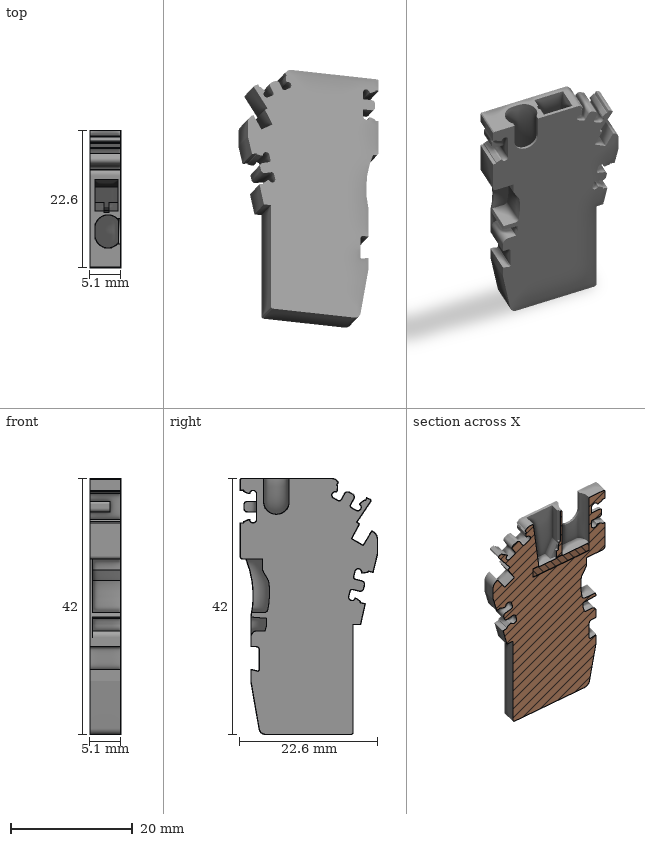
import cadquery as cq

WIDTH = 5.1
DEPTH = 22.55
HEIGHT = 42.0

HEAD_BOTTOM_Z = 28.75
HEAD_EDGE_RADIUS = 0.5
TOP_EDGE_CHAMFER = 0.15
HEAD_BACK_RADIUS = 1.0
FOOT_FRONT_Y = 1.75
RAIL_NOTCH_Y = 3.15
RAIL_NOTCH_TOP_Z = 14.4
RAIL_NOTCH_RADIUS = 0.5
TONGUE_BOTTOM_Z = 19.28
FOOT_BACK_Y = 18.55
FOOT_EDGE_CHAMFER = 0.25
FOOT_TOE_RADIUS = 1.15

GROOVE_HALF_WIDTH = 2.65
GROOVE_STEP_HALF_WIDTH = 2.48
GROOVE_CREST_HALF_WIDTH = 2.15
GROOVE_CREST_DEPTH = 1.35
GROOVE_CREST_LENGTH = 0.25
GROOVE_DEPTH = 2.7
GROOVE_LIP_DEPTH = 0.6
GROOVE_OVERRUN = 0.4
RIB_HALF_WIDTH = 0.9
RIB_SETBACK = 0.65
RIB_TIP_HALF_WIDTH = 0.38
RIB_TIP_LENGTH = 0.6
REAR_RIB_ROOT_RADIUS = 0.38
FRONT_RIB_LENGTH = 3.28
FRONT_GROOVE = (0.0, 37.4, 0.0)
REAR_GROOVES = [(18.5, 40.15, 241.5), (20.95, 24.05, 166.0)]

RECESS_WALL = 0.45
SHELF_Z = 17.0

BAR_TOP_Z = 31.9
BAR_HEIGHT = 1.7

OPENING_X = 0.85
POCKET_END_X = 4.6
HOLE_CENTRE = (3.0, 5.95)
HOLE_RADIUS = HOLE_CENTRE[0] - OPENING_X
HOLE_STRAIGHT = 1.15
HOLE_WALL_X = 4.7
HOLE_FRONT_Y = HOLE_CENTRE[1] - HOLE_STRAIGHT / 2 - HOLE_RADIUS
SIDE_SLOT_RADIUS = 2.1
SIDE_SLOT_BOTTOM_Z = 36.1
POCKET_BACK_Y = 14.45
POCKET_SLOPE_TOP_Y = 14.3
POCKET_SLOPE_TOP_Z = 40.9
POCKET_SLOPE_BOTTOM_Y = 13.27
POCKET_RAMP_BOTTOM_Y = 10.7
POCKET_RAMP_TOP_Z = BAR_TOP_Z + 2.95
POCKET_FRONT_Y = 9.32
SLIT_X = (2.35, 3.1)
SLIT_STEPS = [(9.83, BAR_TOP_Z), (9.45, 33.6), (9.07, 35.3)]


def extrude_yz(sketch, x_start, x_end):
    """Extrude a closed YZ sketch along X and move it to start at x_start."""
    return sketch.close().extrude(x_end - x_start).translate((x_start, 0, 0))


def box(x_range, y_range, z_range):
    size = [high - low for low, high in (x_range, y_range, z_range)]
    return cq.Workplane("XY").box(*size, centered=False).translate((x_range[0], y_range[0], z_range[0]))


def outline_plate():
    """Full-width plate with the side outline, before its grooves are cut."""
    outline = (
        cq.Workplane("YZ")
        .moveTo(TOP_EDGE_CHAMFER, HEIGHT)
        .lineTo(0, HEIGHT - TOP_EDGE_CHAMFER)
        .lineTo(0, HEAD_BOTTOM_Z + HEAD_EDGE_RADIUS)
        .radiusArc((HEAD_EDGE_RADIUS, HEAD_BOTTOM_Z), -HEAD_EDGE_RADIUS)
        .lineTo(0.95, HEAD_BOTTOM_Z)
        .threePointArc((2.15, 22.95), (FOOT_FRONT_Y, TONGUE_BOTTOM_Z))
        .lineTo(FOOT_FRONT_Y, RAIL_NOTCH_TOP_Z)
        .lineTo(RAIL_NOTCH_Y - RAIL_NOTCH_RADIUS, RAIL_NOTCH_TOP_Z)
        .radiusArc((RAIL_NOTCH_Y, RAIL_NOTCH_TOP_Z - RAIL_NOTCH_RADIUS), RAIL_NOTCH_RADIUS)
        .lineTo(RAIL_NOTCH_Y, 10.6)
        .lineTo(2.95, 10.4)
        .lineTo(FOOT_FRONT_Y, 10.7)
        .lineTo(FOOT_FRONT_Y, 8.75)
        .lineTo(3.1, 0.95)
        .radiusArc((4.2, 0), -FOOT_TOE_RADIUS)
        .lineTo(FOOT_BACK_Y - FOOT_EDGE_CHAMFER, 0)
        .lineTo(FOOT_BACK_Y, FOOT_EDGE_CHAMFER)
        .lineTo(FOOT_BACK_Y, 18.0)
        .lineTo(19.8, 18.0)
        .lineTo(20.5, 21.2)
        .lineTo(21.85, 26.63)
        .lineTo(DEPTH, 29.6)
        .lineTo(DEPTH, 31.95)
        .threePointArc((22.3, 32.85), (21.6, 33.4))
        .lineTo(20.2, 31.05)
        .lineTo(18.3, 32.15)
        .lineTo(19.6, 34.55)
        .lineTo(19.15, 34.8)
        .lineTo(21.5, 38.3)
        .lineTo(21.4, 38.55)
        .lineTo(20.85, 38.8)
        .lineTo(16.0, 41.45)
        .radiusArc((15.1, HEIGHT), -HEAD_BACK_RADIUS)
    )
    return extrude_yz(outline, 0, WIDTH)


def place_in_groove(solid, groove):
    """Move a solid from groove axes (inward along +Y, mouth at the origin) to its groove."""
    centre_y, centre_z, angle = groove
    return solid.rotate((0, 0, 0), (1, 0, 0), angle).translate((0, centre_y, centre_z))


def groove_cavity():
    """Double channel without its rib, inward along +Y with its mouth at Y = 0."""
    lobe_start = GROOVE_CREST_DEPTH + GROOVE_CREST_LENGTH
    lobe_middle = (lobe_start + GROOVE_DEPTH) / 2
    cavity = (
        cq.Workplane("YZ")
        .moveTo(-GROOVE_OVERRUN, GROOVE_HALF_WIDTH)
        .lineTo(GROOVE_LIP_DEPTH, GROOVE_HALF_WIDTH)
        .lineTo(GROOVE_LIP_DEPTH, GROOVE_STEP_HALF_WIDTH)
        .lineTo(GROOVE_CREST_DEPTH, GROOVE_CREST_HALF_WIDTH)
        .lineTo(lobe_start, GROOVE_CREST_HALF_WIDTH)
        .threePointArc((lobe_middle, GROOVE_HALF_WIDTH), (GROOVE_DEPTH, GROOVE_CREST_HALF_WIDTH))
        .lineTo(GROOVE_DEPTH, 0)
        .lineTo(-GROOVE_OVERRUN, 0)
    )
    half = extrude_yz(cavity, 0, WIDTH)
    return half.union(half.mirror("XY"))


def groove_rib(length):
    """Rib with a rounded tip, standing on the groove floor."""
    shoulder = RIB_SETBACK + RIB_TIP_LENGTH
    rib = (
        cq.Workplane("YZ")
        .moveTo(GROOVE_DEPTH, RIB_HALF_WIDTH)
        .lineTo(shoulder, RIB_HALF_WIDTH)
        .radiusArc((RIB_SETBACK, RIB_TIP_HALF_WIDTH), -RIB_TIP_LENGTH)
        .lineTo(RIB_SETBACK, -RIB_TIP_HALF_WIDTH)
        .radiusArc((shoulder, -RIB_HALF_WIDTH), -RIB_TIP_LENGTH)
        .lineTo(GROOVE_DEPTH, -RIB_HALF_WIDTH)
    )
    return extrude_yz(rib, 0, length)


def rear_rib_root():
    """Rounded widening where a rear rib meets the groove floor."""
    root_depth = GROOVE_DEPTH - REAR_RIB_ROOT_RADIUS
    root_half_width = RIB_HALF_WIDTH + REAR_RIB_ROOT_RADIUS
    root = (
        cq.Workplane("YZ")
        .moveTo(GROOVE_DEPTH, root_half_width)
        .radiusArc((root_depth, RIB_HALF_WIDTH), REAR_RIB_ROOT_RADIUS)
        .lineTo(root_depth, -RIB_HALF_WIDTH)
        .radiusArc((GROOVE_DEPTH, -root_half_width), REAR_RIB_ROOT_RADIUS)
    )
    return extrude_yz(root, 0, WIDTH)


def upper_rail_recess():
    recess = (
        cq.Workplane("YZ")
        .moveTo(0, HEAD_BOTTOM_Z)
        .lineTo(3.65, HEAD_BOTTOM_Z)
        .lineTo(3.65, 27.0)
        .lineTo(4.65, 25.25)
        .threePointArc((4.8, 24.5), (4.85, 23.7))
        .threePointArc((4.8, 22.1), (4.58, 20.55))
        .threePointArc((4.35, 20.15), (4.05, 20.05))
        .lineTo(0, 20.05)
    )
    return extrude_yz(recess, RECESS_WALL, WIDTH)


def lower_rail_recess():
    recess = (
        cq.Workplane("YZ")
        .moveTo(FOOT_FRONT_Y, TONGUE_BOTTOM_Z)
        .lineTo(4.35, 19.05)
        .lineTo(4.35, 18.0)
        .lineTo(4.1, SHELF_Z)
        .lineTo(2.75, SHELF_Z)
        .threePointArc((2.05, 16.67), (FOOT_FRONT_Y, 15.95))
    )
    return extrude_yz(recess, RECESS_WALL, WIDTH)


def conductor_hole():
    """Long round hole, kept clear of the +X wall."""
    hole = (
        cq.Workplane("XY")
        .workplane(offset=BAR_TOP_Z)
        .center(*HOLE_CENTRE)
        .slot2D(HOLE_STRAIGHT + 2 * HOLE_RADIUS, 2 * HOLE_RADIUS, 90)
        .extrude(HEIGHT - BAR_TOP_Z)
    )
    return hole.intersect(box((0, HOLE_WALL_X), (0, DEPTH), (0, HEIGHT)))


def side_slot():
    """Round-bottomed slot through the +X wall into the conductor hole."""
    front_y = HOLE_CENTRE[1] - SIDE_SLOT_RADIUS
    back_y = HOLE_CENTRE[1] + SIDE_SLOT_RADIUS
    centre_z = SIDE_SLOT_BOTTOM_Z + SIDE_SLOT_RADIUS
    slot = (
        cq.Workplane("YZ")
        .moveTo(front_y, HEIGHT)
        .lineTo(front_y, centre_z)
        .threePointArc((HOLE_CENTRE[1], SIDE_SLOT_BOTTOM_Z), (back_y, centre_z))
        .lineTo(back_y, HEIGHT)
    )
    return extrude_yz(slot, HOLE_CENTRE[0], WIDTH)


def tool_pocket():
    """Rectangular pocket that narrows downwards, with a stepped slit in its ramp."""
    pocket = (
        cq.Workplane("YZ")
        .moveTo(POCKET_BACK_Y, HEIGHT)
        .lineTo(POCKET_SLOPE_TOP_Y, POCKET_SLOPE_TOP_Z)
        .lineTo(POCKET_SLOPE_BOTTOM_Y, BAR_TOP_Z)
        .lineTo(POCKET_RAMP_BOTTOM_Y, BAR_TOP_Z)
        .lineTo(POCKET_FRONT_Y, POCKET_RAMP_TOP_Z)
        .lineTo(POCKET_FRONT_Y, HEIGHT)
    )
    pocket = extrude_yz(pocket, OPENING_X, POCKET_END_X)
    for front_y, floor_z in SLIT_STEPS:
        pocket = pocket.union(box(SLIT_X, (front_y, POCKET_SLOPE_BOTTOM_Y), (floor_z, HEIGHT)))
    return pocket


def make_contact_bar():
    bar_bottom_z = BAR_TOP_Z - BAR_HEIGHT
    return box((OPENING_X, HOLE_WALL_X), (HOLE_FRONT_Y, POCKET_BACK_Y), (bar_bottom_z, BAR_TOP_Z))


def make_housing(contact_bar):
    front_groove = groove_cavity().cut(groove_rib(FRONT_RIB_LENGTH))
    rear_groove = groove_cavity().cut(groove_rib(WIDTH)).cut(rear_rib_root())
    housing = outline_plate()
    housing = housing.cut(place_in_groove(front_groove, FRONT_GROOVE))
    for groove in REAR_GROOVES:
        housing = housing.cut(place_in_groove(rear_groove, groove))
    housing = housing.cut(upper_rail_recess()).cut(lower_rail_recess())
    housing = housing.cut(conductor_hole()).cut(side_slot()).cut(tool_pocket())
    return housing.cut(contact_bar)


contact_bar = make_contact_bar()
housing = make_housing(contact_bar)
result = cq.Compound.makeCompound([housing.val(), contact_bar.val()])